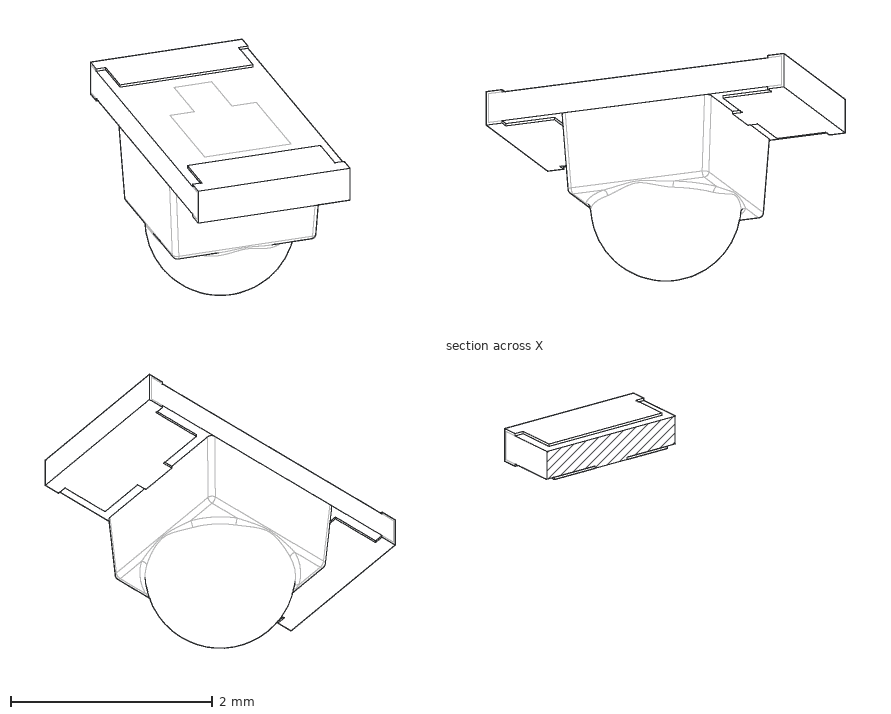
import cadquery as cq

length = 3.2
width = 1.6
plating = 0.025
board_thickness = 0.3
board_top = board_thickness / 2
board_bottom = -board_top

cap_full_width_length = 0.173
cap_side_inset = 0.1
cap_top_length = 0.6
cap_bottom_length = 0.695
tongue_width = 0.4

mark_left = -0.813
mark_step = -0.21
mark_right = 0.82
mark_half_width = 0.455
mark_stem_half_width = 0.2

overall_height = 1.9
lens_base = width
lens_taper = 3.3
lens_edge_radius = 0.05
dome_radius = 0.75
dome_tip = board_top + plating - overall_height
dome_center = dome_tip + dome_radius
block_height = board_bottom - dome_center
plane_tolerance = 0.0003


def box_between(x_start, x_end, y_width, z_start, z_end):
    """Box centred on Y between the given X and Z limits."""
    size = (x_end - x_start, y_width, z_end - z_start)
    return cq.Workplane("XY").box(*size, centered=(False, True, False)).translate((x_start, 0, z_start))


def cap_layer(inner_length, z_start):
    """Flat plating layer of the left cap: full width at the end, then stepped in from both sides."""
    x_end = -length / 2
    z_end = z_start + plating
    wide = box_between(x_end, x_end + cap_full_width_length, width, z_start, z_end)
    narrow = box_between(x_end, x_end + inner_length, width - 2 * cap_side_inset, z_start, z_end)
    return wide.union(narrow)


def end_cap():
    """Left end cap, with a tongue under the board that runs up to the lens."""
    x_end = -length / 2
    lower = board_bottom - plating
    end_wall = box_between(x_end, x_end + plating, width, lower, board_top + plating)
    tongue = box_between(x_end + cap_bottom_length, -lens_base / 2, tongue_width, lower, board_bottom)
    return (
        end_wall.union(cap_layer(cap_top_length, board_top))
        .union(cap_layer(cap_bottom_length, lower))
        .union(tongue)
    )


def polarity_mark():
    """T-shaped inlay, level with the top of the board."""
    floor = board_top - plating
    stem = box_between(mark_left, mark_step, 2 * mark_stem_half_width, floor, board_top)
    head = box_between(mark_step, mark_right, 2 * mark_half_width, floor, board_top)
    return stem.union(head)


def make_board():
    """Board, both end caps and the mark as one solid; flush faces keep their boundary lines."""
    half_core = length / 2 - plating
    mark = polarity_mark()
    board = box_between(-half_core, half_core, width, board_bottom, board_top)
    board = board.cut(mark).union(mark, clean=False)
    left_cap = end_cap()
    for cap in (left_cap, left_cap.mirror("YZ")):
        board = board.union(cap, clean=False)
    return board


def tapered_block():
    """Square block under the board, with rounded upright corners and lower rim."""
    return (
        cq.Workplane("XY", origin=(0, 0, board_bottom))
        .rect(lens_base, lens_base)
        .extrude(-block_height, taper=lens_taper)
        .edges("not(#Z)").fillet(lens_edge_radius)
        .faces("<Z").edges().fillet(lens_edge_radius)
    )


def dome_foot_arcs():
    """Selector for the four arcs where the dome meets the corners of the block's lower face."""
    low_corner = (-lens_base / 2, -lens_base / 2, dome_center - plane_tolerance)
    high_corner = (lens_base / 2, lens_base / 2, dome_center + plane_tolerance)
    in_lower_face = cq.selectors.BoxSelector(low_corner, high_corner)
    return in_lower_face & cq.selectors.TypeSelector("CIRCLE")


def make_lens():
    """Tapered block blended into a half-ball dome on its lower face."""
    ball = cq.Workplane("XY", origin=(0, 0, dome_center)).sphere(dome_radius)
    ball_top = dome_center + lens_edge_radius
    dome = ball.intersect(box_between(-lens_base / 2, lens_base / 2, lens_base, dome_tip, ball_top))
    return tapered_block().union(dome).edges(dome_foot_arcs()).fillet(lens_edge_radius)


board = make_board()
lens = make_lens()
result = cq.Compound.makeCompound([board.val(), lens.val()])